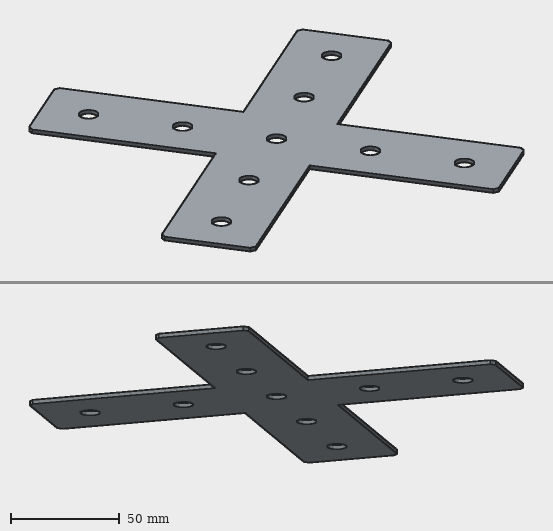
import cadquery as cq

span = 225.0
arm_width = span / 5
thickness = 2.0
corner_chamfer = 2.0
hole_diameter = 9.0
hole_pitch = arm_width
holes_per_arm = 2


def bar(length_x, length_y):
    """Flat bar with chamfered vertical corners."""
    blank = cq.Workplane("XY").box(length_x, length_y, thickness)
    return blank.edges("|Z").chamfer(corner_chamfer)


cross = bar(span, arm_width).union(bar(arm_width, span))

hole_points = [(0, 0)]
for step in range(1, holes_per_arm + 1):
    offset = step * hole_pitch
    hole_points += [(offset, 0), (-offset, 0), (0, offset), (0, -offset)]

result = cross.faces(">Z").workplane().pushPoints(hole_points).hole(hole_diameter)